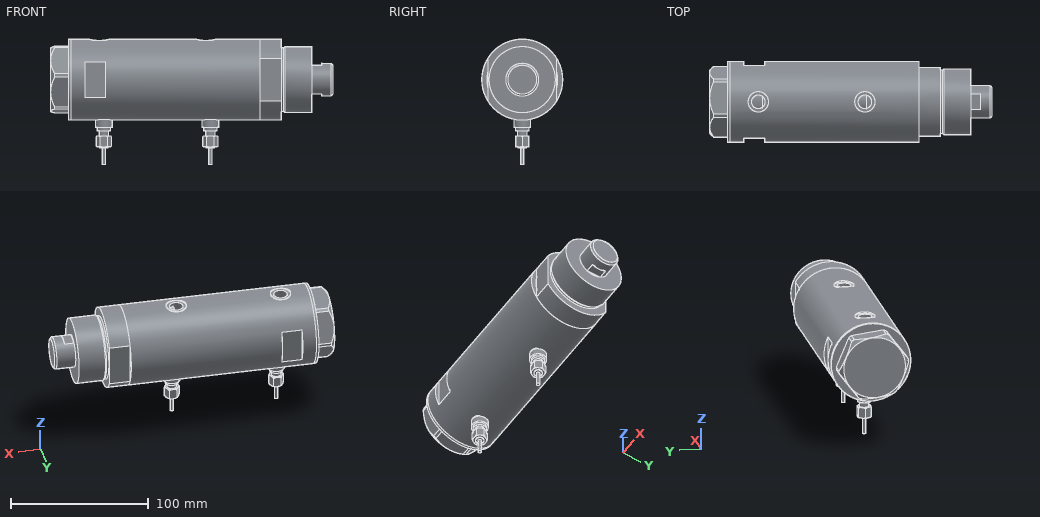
import cadquery as cq
import math

overall_length = 205.5
overall_height = 91.2
outer_diameter = 59.0
outer_radius = outer_diameter / 2
bore_radius = 18.5
rod_radius = 12.0

hex_length = 13.1
hex_across_flats = 46.0
hex_tilt = 7.0
hex_corner_radius = 25.9
hex_face_radius = 22.8
flange_end = 15.0
spigot_end = 38.5

barrel_end = 152.5
slot_start = 25.0
slot_width = 15.0
slot_half_span = 26.5
station_spacing = 77.5
first_port_x = 35.5
port_radius = 5.0
spotface_radius = 7.4
spotface_height = 28.3

sleeve_start = 114.2
sleeve_radius = 25.7
collar_end = 167.8
collar_half_flats = 25.0
neck_radius = 23.2
neck_end = 169.5
nose_start = 170.5
nose_end = 190.0
nose_radius = 24.0

rod_flats_end = 197.0
rod_half_flats = 10.5
rod_chamfer = 1.5

first_sensor_x = 38.8
shank_radius = 6.2
shank_depth = 34.7
step_radius = 5.0
step_depth = 37.2
stem_radius = 3.5
nut_top_depth = 40.9
nut_bottom_depth = 48.9
nut_across_flats = 9.7
nut_chamfer = 0.6
lip_radius = 3.0
lip_depth = 49.5
cable_radius = 1.2
cable_depth = overall_height - outer_radius

port_positions = [first_port_x + i * station_spacing for i in range(2)]
sensor_positions = [first_sensor_x + i * station_spacing for i in range(2)]


def x_cylinder(radius, start, end):
    """Round bar on the X axis between two X positions."""
    return cq.Workplane("YZ").workplane(offset=start).circle(radius).extrude(end - start)


def z_cylinder(x, radius, bottom, top):
    """Round vertical bar at a given X between two heights."""
    return cq.Workplane("XY", origin=(x, 0, bottom)).circle(radius).extrude(top - bottom)


def side_cut(start, end, half_span):
    """Pair of blocks that leave flats at Y = +half_span and Y = -half_span."""
    depth = outer_radius - half_span
    offset = half_span + depth / 2
    return (
        cq.Workplane("XY")
        .pushPoints([((start + end) / 2, offset), ((start + end) / 2, -offset)])
        .rect(end - start, depth)
        .extrude(outer_radius, both=True)
    )


def make_cap():
    corner_to_corner = hex_across_flats / math.cos(math.pi / 6)
    head = (
        cq.Workplane("YZ")
        .polygon(6, corner_to_corner)
        .extrude(hex_length)
        .rotate((0, 0, 0), (1, 0, 0), -hex_tilt)
    )
    envelope = (
        x_cylinder(hex_corner_radius, 0, hex_length)
        .faces("<X")
        .chamfer(hex_corner_radius - hex_face_radius)
    )
    flange = x_cylinder(outer_radius, hex_length, flange_end)
    spigot = x_cylinder(bore_radius, flange_end, spigot_end)
    return head.intersect(envelope).union(flange).union(spigot)


def make_barrel():
    barrel = x_cylinder(outer_radius, flange_end, barrel_end)
    barrel = barrel.cut(x_cylinder(bore_radius, flange_end, sleeve_start))
    barrel = barrel.cut(x_cylinder(sleeve_radius, sleeve_start, barrel_end))
    barrel = barrel.cut(side_cut(slot_start, slot_start + slot_width, slot_half_span))
    for x in port_positions:
        barrel = barrel.cut(z_cylinder(x, spotface_radius, spotface_height, outer_radius))
        barrel = barrel.cut(z_cylinder(x, port_radius, 0, outer_radius))
    for x in sensor_positions:
        barrel = barrel.cut(z_cylinder(x, shank_radius, -outer_radius, -spotface_height))
    return barrel


def make_gland():
    profile = [
        (sleeve_start, rod_radius),
        (sleeve_start, sleeve_radius),
        (barrel_end, sleeve_radius),
        (barrel_end, outer_radius),
        (collar_end, outer_radius),
        (collar_end, neck_radius),
        (neck_end, neck_radius),
        (nose_start, nose_radius),
        (nose_end, nose_radius),
        (nose_end, rod_radius),
    ]
    gland = cq.Workplane("XY").polyline(profile).close().revolve(360, (0, 0, 0), (1, 0, 0))
    return gland.cut(side_cut(barrel_end, collar_end, collar_half_flats))


def make_rod():
    rod = x_cylinder(rod_radius, spigot_end, overall_length).faces(">X").chamfer(rod_chamfer)
    flats_length = rod_flats_end - nose_end
    flatted_bar = (
        cq.Workplane("XY", origin=((nose_end + rod_flats_end) / 2, 0, 0))
        .box(flats_length, 2 * rod_radius, 2 * rod_half_flats)
    )
    round_length = x_cylinder(rod_radius, nose_end, rod_flats_end)
    return rod.cut(round_length.cut(flatted_bar))


def make_nut(x):
    corner_to_corner = nut_across_flats / math.cos(math.pi / 6)
    height = nut_bottom_depth - nut_top_depth
    hexagon = (
        cq.Workplane("XY", origin=(x, 0, -nut_bottom_depth))
        .polygon(6, corner_to_corner)
        .extrude(height)
    )
    envelope = (
        z_cylinder(x, corner_to_corner / 2, -nut_bottom_depth, -nut_top_depth)
        .faces("<Z or >Z")
        .chamfer(nut_chamfer)
    )
    return hexagon.intersect(envelope)


def make_sensor(x):
    sensor = z_cylinder(x, shank_radius, -shank_depth, -spotface_height)
    sensor = sensor.union(z_cylinder(x, step_radius, -step_depth, -shank_depth))
    sensor = sensor.union(z_cylinder(x, stem_radius, -nut_top_depth, -step_depth))
    sensor = sensor.union(make_nut(x))
    sensor = sensor.union(z_cylinder(x, lip_radius, -lip_depth, -nut_bottom_depth))
    return sensor.union(z_cylinder(x, cable_radius, -cable_depth, -lip_depth))


cap = make_cap()
barrel = make_barrel()
gland = make_gland()
rod = make_rod()
sensors = [make_sensor(x) for x in sensor_positions]

result = cq.Compound.makeCompound(
    [cap.val(), barrel.val(), gland.val(), rod.val(), *[sensor.val() for sensor in sensors]]
)